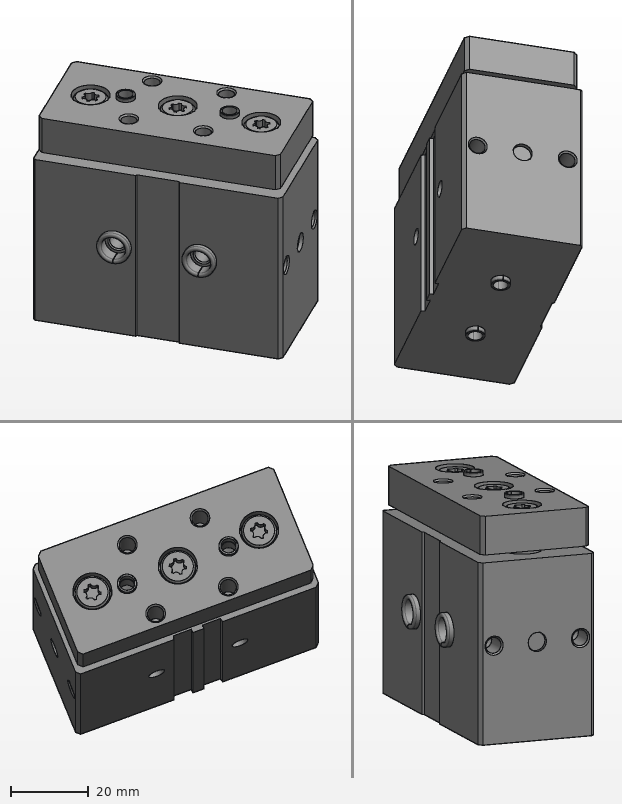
import cadquery as cq
import math

HOUSING_X = 67.0
HOUSING_Y = 32.0
HOUSING_Z = 48.05
HOUSING_CHAMFER = 1.0
SMALL_CHAMFER = 0.6
MID_Z = 26.0
FRONT_Y = -HOUSING_Y / 2
BACK_Y = HOUSING_Y / 2

FRONT_CHANNEL_WIDTH = 11.8
FRONT_CHANNEL_DEPTH = 0.5
BACK_CHANNEL_WIDTH = 13.4
BACK_CHANNEL_DEPTH = 1.0
BACK_RIB_WIDTH = 3.1
CHANNEL_SLANT = 0.3

PLATE_X = 65.0
PLATE_Y = 30.0
PLATE_Z = 10.2
PLATE_GAP = 1.8
PLATE_CHAMFER = 1.1
PLATE_BOTTOM = HOUSING_Z + PLATE_GAP
PLATE_TOP = PLATE_BOTTOM + PLATE_Z
PATTERN_Y = 1.5
PLATE_HOLE_SPACING = 20.0

GUIDE_SPACING = 45.95
GUIDE_DIA = 10.0
PISTON_DIA = 7.05
ROD_INSERTION = 33.5

COUNTERBORE_DIA = 10.0
COUNTERBORE_DEPTH = 4.0
HEAD_DIA = 9.0
HEAD_TOP_DIA = 8.0
HEAD_CHAMFER = (HEAD_DIA - HEAD_TOP_DIA) / 2
HEAD_SINK = 0.55
HEAD_TOP = PLATE_TOP - HEAD_SINK
SHANK_DIA = 5.0
SOCKET_DIA = 4.4
SOCKET_DEPTH = 2.0
SOCKET_VALLEY_DIA = 3.2
SOCKET_VALLEY_RADIUS = 1.0
SOCKET_LOBES = 6

THREAD_DIA = 4.15
THREAD_MOUTH_DIA = 5.0
THREAD_DEPTH = 6.7
THREAD_MOUTH_CHAMFER = (THREAD_MOUTH_DIA - THREAD_DIA) / 2
DRILL_POINT_ANGLE = 118.0
SIDE_HOLE_SPACING = 24.0
SIDE_RECESS_DIA = 5.0
SIDE_RECESS_DEPTH = 1.1

SLEEVE_DIA = 5.0
SLEEVE_BORE = 3.9
SLEEVE_LENGTH = 2.6
SLEEVE_CHAMFER_HEIGHT = 0.3
SLEEVE_CHAMFER_INSET = 0.1
SLEEVE_SLIT = 0.15
TOP_SLEEVE_SPACING = 28.0
TOP_SLEEVE_PROTRUSION = 1.0
BOTTOM_SLEEVE_SPACING = 24.4
BOTTOM_SLEEVE_PROTRUSION = 1.35

PORT_SPACING = 23.0
PORT_DIA = 4.3
PORT_MOUTH_DIA = 5.0
PORT_MOUTH_CHAMFER = (PORT_MOUTH_DIA - PORT_DIA) / 2
PORT_SLEEVE_DIA = 9.0
PORT_SLEEVE_BORE = 6.5
PORT_SLEEVE_LENGTH = 3.95
PORT_SLEEVE_PROTRUSION = 1.8
PORT_SEAT_DEPTH = PORT_SLEEVE_LENGTH - PORT_SLEEVE_PROTRUSION

UP = cq.Vector(0, 0, 1)
DOWN = cq.Vector(0, 0, -1)
BACKWARD = cq.Vector(0, 1, 0)


def mirrored(spacing):
    """Two positions placed evenly about zero."""
    return (-spacing / 2, spacing / 2)


def cylinder(point, direction, dia, length):
    return cq.Workplane(cq.Solid.makeCylinder(dia / 2, length, cq.Vector(*point), direction))


def cone(point, direction, start_dia, end_dia, length):
    return cq.Workplane(
        cq.Solid.makeCone(start_dia / 2, end_dia / 2, length, cq.Vector(*point), direction)
    )


def threaded_hole(point, direction):
    """Blind hole with a chamfered mouth and a drill-point bottom."""
    bottom = cq.Vector(*point) + direction * THREAD_DEPTH
    point_length = THREAD_DIA / 2 / math.tan(math.radians(DRILL_POINT_ANGLE / 2))
    return (
        cylinder(point, direction, THREAD_DIA, THREAD_DEPTH)
        .union(cone(point, direction, THREAD_MOUTH_DIA, THREAD_DIA, THREAD_MOUTH_CHAMFER))
        .union(cone(bottom.toTuple(), direction, THREAD_DIA, 0, point_length))
    )


def socket(x, y):
    """Six-lobed screw socket cut down from the top of a screw head."""
    floor = HEAD_TOP - SOCKET_DEPTH
    valley_centre = SOCKET_VALLEY_DIA / 2 + SOCKET_VALLEY_RADIUS
    valleys = (
        cq.Workplane("XY", origin=(x, y, floor))
        .polarArray(valley_centre, 0, 360, SOCKET_LOBES)
        .circle(SOCKET_VALLEY_RADIUS)
        .extrude(SOCKET_DEPTH)
    )
    return cylinder((x, y, floor), UP, SOCKET_DIA, SOCKET_DEPTH).cut(valleys)


def screw(x, y):
    """Screw through the plate: shank, chamfered head and socket."""
    head_bottom = PLATE_TOP - COUNTERBORE_DEPTH
    head = cylinder((x, y, head_bottom), UP, HEAD_DIA, HEAD_TOP - head_bottom)
    head = head.faces(">Z").chamfer(HEAD_CHAMFER).cut(socket(x, y))
    return head.union(cylinder((x, y, PLATE_BOTTOM), UP, SHANK_DIA, head_bottom - PLATE_BOTTOM))


def screw_bore(x, y):
    """Counterbored hole through the plate; the counterbore leaves a gap around the head."""
    counterbore = cylinder((x, y, PLATE_TOP), DOWN, COUNTERBORE_DIA, COUNTERBORE_DEPTH)
    return cylinder((x, y, PLATE_BOTTOM), UP, SHANK_DIA, PLATE_Z).union(counterbore)


def rod(x, y, dia):
    """Plain rod from inside the housing up to the underside of the plate."""
    return cylinder((x, y, HOUSING_Z - ROD_INSERTION), UP, dia, ROD_INSERTION + PLATE_GAP)


def channel(y_open, width, depth):
    """Full-height channel with slanted walls, narrowing away from the face y_open."""
    inward = -math.copysign(depth, y_open)
    half = width / 2
    return (
        cq.Workplane("XY")
        .polyline([
            (-half, y_open),
            (half, y_open),
            (half - CHANNEL_SLANT, y_open + inward),
            (-half + CHANNEL_SLANT, y_open + inward),
        ])
        .close()
        .extrude(HOUSING_Z)
    )


def make_housing():
    housing = cq.Workplane("XY").box(HOUSING_X, HOUSING_Y, HOUSING_Z, centered=(True, True, False))
    housing = housing.edges("|Z and (>X or >Y)").chamfer(HOUSING_CHAMFER)
    housing = housing.edges("|Z and <X and <Y").chamfer(SMALL_CHAMFER)

    rib = cq.Workplane("XY").box(BACK_RIB_WIDTH, HOUSING_Y, HOUSING_Z, centered=(True, True, False))
    housing = housing.cut(channel(FRONT_Y, FRONT_CHANNEL_WIDTH, FRONT_CHANNEL_DEPTH))
    housing = housing.cut(channel(BACK_Y, BACK_CHANNEL_WIDTH, BACK_CHANNEL_DEPTH).cut(rib))

    for x in mirrored(GUIDE_SPACING):
        housing = housing.cut(rod(x, 0, GUIDE_DIA))
    housing = housing.cut(rod(0, PATTERN_Y, PISTON_DIA))

    for x in mirrored(PORT_SPACING):
        seat_floor = (x, FRONT_Y + PORT_SEAT_DEPTH, MID_Z)
        housing = housing.cut(cylinder((x, FRONT_Y, MID_Z), BACKWARD, PORT_DIA, HOUSING_Y))
        housing = housing.cut(cylinder((x, FRONT_Y, MID_Z), BACKWARD, PORT_SLEEVE_DIA, PORT_SEAT_DEPTH))
        housing = housing.cut(cone(seat_floor, BACKWARD, PORT_MOUTH_DIA, PORT_DIA, PORT_MOUTH_CHAMFER))

    for side in (-1, 1):
        inward = cq.Vector(-side, 0, 0)
        end_x = side * HOUSING_X / 2
        for y in mirrored(SIDE_HOLE_SPACING):
            housing = housing.cut(threaded_hole((end_x, y, MID_Z), inward))
        housing = housing.cut(cylinder((end_x, 0, MID_Z), inward, SIDE_RECESS_DIA, SIDE_RECESS_DEPTH))

    for x in mirrored(BOTTOM_SLEEVE_SPACING):
        housing = housing.cut(
            cylinder((x, 0, 0), UP, SLEEVE_DIA, SLEEVE_LENGTH - BOTTOM_SLEEVE_PROTRUSION)
        )
    return housing


def make_plate():
    plate = (
        cq.Workplane("XY", origin=(0, 0, PLATE_BOTTOM))
        .box(PLATE_X, PLATE_Y, PLATE_Z, centered=(True, True, False))
        .edges("|Z")
        .chamfer(PLATE_CHAMFER)
    )

    for x in mirrored(GUIDE_SPACING):
        plate = plate.cut(screw_bore(x, 0))
    plate = plate.cut(screw_bore(0, PATTERN_Y))
    plate = plate.union(screw(0, PATTERN_Y)).union(rod(0, PATTERN_Y, PISTON_DIA))

    for x in mirrored(PLATE_HOLE_SPACING):
        for dy in mirrored(PLATE_HOLE_SPACING):
            y = PATTERN_Y + dy
            plate = plate.cut(cylinder((x, y, PLATE_BOTTOM), UP, THREAD_DIA, PLATE_Z))
            plate = plate.cut(
                cone((x, y, PLATE_TOP), DOWN, THREAD_MOUTH_DIA, THREAD_DIA, THREAD_MOUTH_CHAMFER)
            )

    seat_depth = SLEEVE_LENGTH - TOP_SLEEVE_PROTRUSION
    for x in mirrored(TOP_SLEEVE_SPACING):
        plate = plate.cut(threaded_hole((x, PATTERN_Y, PLATE_TOP), DOWN))
        plate = plate.cut(cylinder((x, PATTERN_Y, PLATE_TOP), DOWN, SLEEVE_DIA, seat_depth))
    return plate


def make_guide_rod(x):
    return rod(x, 0, GUIDE_DIA).union(screw(x, 0))


def make_sleeve(x, y, outer_z, outward):
    """Small split sleeve; its lead-in chamfer is at the outer end and its slit faces -X."""
    point = (x, y, outer_z)
    inward = outward * -1
    shoulder = cq.Vector(*point) + inward * SLEEVE_CHAMFER_HEIGHT
    tip_dia = SLEEVE_DIA - 2 * SLEEVE_CHAMFER_INSET
    slit = cq.Workplane("XY", origin=(x - SLEEVE_DIA / 2, y, outer_z)).box(
        SLEEVE_DIA, SLEEVE_SLIT, 2 * SLEEVE_LENGTH
    )
    return (
        cone(point, inward, tip_dia, SLEEVE_DIA, SLEEVE_CHAMFER_HEIGHT)
        .union(cylinder(shoulder.toTuple(), inward, SLEEVE_DIA, SLEEVE_LENGTH - SLEEVE_CHAMFER_HEIGHT))
        .cut(cylinder(point, inward, SLEEVE_BORE, SLEEVE_LENGTH))
        .cut(slit)
    )


def make_port_sleeve(x):
    """Large split sleeve around a front port: half-round outer rim, slit facing down."""
    inner = PORT_SLEEVE_BORE / 2
    outer = PORT_SLEEVE_DIA / 2
    rim_radius = (outer - inner) / 2
    shoulder = PORT_SLEEVE_PROTRUSION - rim_radius
    slit = cq.Workplane("XY", origin=(x, FRONT_Y, MID_Z - PORT_SLEEVE_DIA)).box(
        SLEEVE_SLIT, 2 * PORT_SLEEVE_LENGTH, PORT_SLEEVE_DIA, centered=(True, True, False)
    )
    return (
        cq.Workplane("YZ", origin=(x, FRONT_Y, MID_Z))
        .moveTo(PORT_SEAT_DEPTH, -inner)
        .lineTo(-shoulder, -inner)
        .threePointArc((-PORT_SLEEVE_PROTRUSION, -inner - rim_radius), (-shoulder, -outer))
        .lineTo(PORT_SEAT_DEPTH, -outer)
        .close()
        .revolve(360, (0, 0, 0), (1, 0, 0))
        .cut(slit)
    )


housing = make_housing()
plate = make_plate()
guide_rods = [make_guide_rod(x) for x in mirrored(GUIDE_SPACING)]
top_sleeves = [
    make_sleeve(x, PATTERN_Y, PLATE_TOP + TOP_SLEEVE_PROTRUSION, UP)
    for x in mirrored(TOP_SLEEVE_SPACING)
]
bottom_sleeves = [
    make_sleeve(x, 0, -BOTTOM_SLEEVE_PROTRUSION, DOWN)
    for x in mirrored(BOTTOM_SLEEVE_SPACING)
]
port_sleeves = [make_port_sleeve(x) for x in mirrored(PORT_SPACING)]

bodies = [housing, plate, *guide_rods, *top_sleeves, *bottom_sleeves, *port_sleeves]
result = cq.Compound.makeCompound([body.solids().val() for body in bodies])